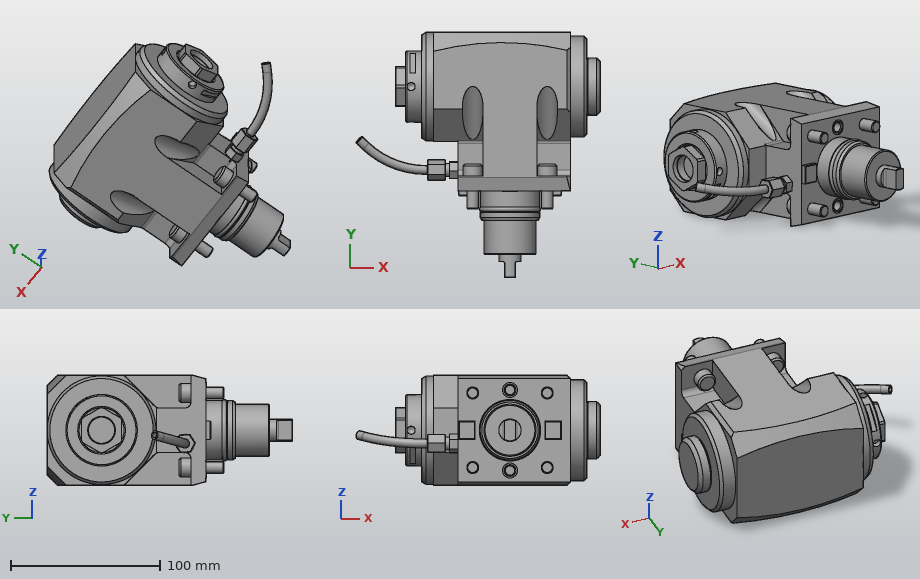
import cadquery as cq
import math


HALF_HEIGHT = 37.0
HOUSING_LEFT = -51.2
HOUSING_RIGHT = 40.7
HOUSING_BACK = 106.5
SPINDLE_Y = 70.0
NECK_HALF_HEIGHT = 15.0
HOUSING_FRONT = 33.0
HOUSING_SLOPE_ANGLE = 45.0
SIDE_CHAMFER = 2.6
BACK_BEVEL = 7.0
BACK_BEVEL_RADIUS = 258.0

PLATE_LEFT = -35.0
PLATE_THICKNESS = 10.0
PLATE_TAPER_START = 9.0
PLATE_TAPER_ANGLE = 15.0
RIB_HALF_WIDTH = 18.0
NECK_BACK_FILLET = 3.0
NECK_PLATE_FILLET = 4.0

SCREW_OFFSET = 25.0
SCREW_DIAMETER = 8.0
SCREW_HEAD_DIAMETER = 13.0
SCREW_HEAD_HEIGHT = 8.0
SCREW_REACH = 12.0
SCREW_CHAMFER = 0.6
SCREW_HEAD_CHAMFER = 1.2
SCALLOP_RADIUS = SCREW_OFFSET - RIB_HALF_WIDTH
SCALLOP_ANGLE = 30.0
SCALLOP_TOP_Y = 70.0
SCALLOP_BOTTOM_Y = 34.5

KEY_INNER_X = 23.4
KEY_WIDTH = 11.0
KEY_LENGTH = 12.4
KEY_HEIGHT = 3.4
KEY_CHAMFER = 0.5
PORT_OFFSET = 27.0
PORT_RING_RADIUS = 5.0
PORT_RING_HEIGHT = 0.4
PORT_RADIUS = 3.2
PORT_CHAMFER = 0.7
PORT_DEPTH = 8.0

PILOT_RADIUS = 20.0
PILOT_LENGTH = 19.8
PILOT_CHAMFER_LENGTH = 2.0
PILOT_CHAMFER_DEPTH = 1.1
RING_GROOVE_START = 10.9
RING_GROOVE_END = 14.5
RING_GROOVE_RADIUS = 18.5
RING_SECTION_RADIUS = 1.6
RING_CENTRE_RADIUS = 19.0
RING_POSITION = 12.4
SHANK_RADIUS = 17.5
SHANK_LENGTH = 42.8
SHANK_CHAMFER = 0.8
STUB_RADIUS = 7.5
STUB_LENGTH = 47.4
TANG_TIP = 58.0
TANG_THICKNESS = 7.2
TANG_ROOT_FILLET = 1.2
TANG_CHAMFER = 0.4

COVER_LEFT = -59.2
COVER_RADIUS = 36.5
COVER_CHAMFER_LENGTH = 3.0
COVER_CHAMFER_DEPTH = 1.8
COLLAR_LEFT = -70.1
COLLAR_RADIUS = 24.0
COLLAR_CHAMFER = 0.9
COLLAR_HOLE_DIAMETER = 5.4
COLLAR_HOLE_X = -66.3
COLLAR_HOLE_DEPTH = 4.0
DRILL_POINT_ANGLE = 118.0
COLLAR_FLAT_LEFT = -67.1
COLLAR_FLAT_RIGHT = -63.5
COLLAR_FLAT_DISTANCE = 22.1
HEX_LEFT = -76.7
HEX_ACROSS_FLATS = 27.0
HEX_TURNED_RADIUS = 15.1
HEX_RECESS_RADIUS = 16.0
HEX_RECESS_DEPTH = 0.9
HEX_MOUTH_RADIUS = 9.3
HEX_MOUTH_DEPTH = 3.7
HEX_BORE_RADIUS = 8.8
HEX_BORE_DEPTH = 10.0

FLANGE_RIGHT = 51.5
FLANGE_RADIUS = 34.0
FLANGE_CHAMFER = 2.0
NOSE_RIGHT = 60.7
NOSE_RADIUS = 19.3
NOSE_CHAMFER = 2.5
NOSE_GROOVE_WIDTH = 1.0
NOSE_GROOVE_RADIUS = 18.3

HOSE_Y = 14.0
HOSE_Z = -8.9
HOSE_END_X = -103.27
HOSE_RADIUS = 3.0
HOSE_TILT = 15.5
HOSE_BEND_ANGLE = 45.0
HOSE_BEND_RADIUS = 58.0
HOSE_BEND_START_X = -56.0
HOSE_BORE_RADIUS = 1.8
HOSE_BORE_DEPTH = 4.0
UNION_ACROSS_FLATS = 11.0
UNION_LENGTH = 5.6
FITTING_NECK_RADIUS = 4.5
UNION_TURN = 95.0
NUT_ACROSS_FLATS = 12.0
NUT_TURN = -3.0
NUT_RIGHT = -43.3
NUT_LEFT = -55.3
FITTING_CHAMFER = 0.4

EMBED = 2.0


def box(x0, x1, y0, y1, z0, z1):
    """Box between two opposite corners."""
    return cq.Workplane("XY").box(x1 - x0, y1 - y0, z1 - z0, centered=False).translate((x0, y0, z0))


def rod_x(x0, x1, radius, y, z):
    """Cylinder along X."""
    return cq.Workplane("YZ", origin=(x0, y, z)).circle(radius).extrude(x1 - x0)


def rod_y(y0, y1, radius, x, z):
    """Cylinder along Y, from y0 up to y1."""
    return cq.Workplane("XZ", origin=(x, y1, z)).circle(radius).extrude(y1 - y0)


def hexagon_x(x0, x1, across_flats, y, z, turn=0.0):
    """Hexagonal bar along X; its corners point along +-Y, turned by an angle about its axis."""
    across_corners = across_flats / math.cos(math.radians(30))
    bar = cq.Workplane("YZ", origin=(x0, y, z)).polygon(6, across_corners).extrude(x1 - x0)
    return bar.rotate((0, y, z), (1, y, z), turn)


def side_profile(points, x0, x1):
    """Prism along X from an outline of (y, z) points."""
    return cq.Workplane("YZ", origin=(x0, 0, 0)).polyline(points).close().extrude(x1 - x0)


def make_housing():
    """Housing block with a sloping front, curved rear bevels and screw access scallops."""
    slope_height = HALF_HEIGHT - NECK_HALF_HEIGHT
    slope_top_y = HOUSING_FRONT + slope_height / math.tan(math.radians(HOUSING_SLOPE_ANGLE))
    housing = side_profile(
        [
            (HOUSING_BACK, -HALF_HEIGHT),
            (HOUSING_BACK, HALF_HEIGHT),
            (slope_top_y, HALF_HEIGHT),
            (HOUSING_FRONT, NECK_HALF_HEIGHT),
            (HOUSING_FRONT, -NECK_HALF_HEIGHT),
            (slope_top_y, -HALF_HEIGHT),
        ],
        HOUSING_LEFT,
        HOUSING_RIGHT,
    )
    envelope = make_bevel_envelope()
    housing = housing.intersect(envelope).intersect(envelope.mirror("XY"))
    for side in (-1, 1):
        scallop = make_scallop(side * SCREW_OFFSET)
        housing = housing.cut(scallop).cut(scallop.mirror("XY"))
    return housing


def make_bevel_envelope():
    """Cylinder that leaves the curved 45 degree bevel on the upper rear edge of the housing."""
    inset = BACK_BEVEL / math.sqrt(2)
    middle_x = (HOUSING_LEFT + HOUSING_RIGHT) / 2
    axis_shift = (BACK_BEVEL_RADIUS + inset) / math.sqrt(2)
    centre = (middle_x, HOUSING_BACK - axis_shift, HALF_HEIGHT - axis_shift)
    plane = cq.Plane(origin=centre, xDir=(1, 0, 0), normal=(0, -1, 1))
    return cq.Workplane(plane).circle(BACK_BEVEL_RADIUS).extrude(2 * HOUSING_BACK, both=True)


def make_scallop(x):
    """Inclined round cutter giving tool access to one upper mounting screw."""
    angle = math.radians(SCALLOP_ANGLE)
    drop = (SCALLOP_TOP_Y - SCALLOP_BOTTOM_Y) * math.tan(angle)
    start = (
        x,
        SCALLOP_BOTTOM_Y - SCALLOP_RADIUS * math.sin(angle),
        HALF_HEIGHT - drop + SCALLOP_RADIUS * math.cos(angle),
    )
    plane = cq.Plane(origin=start, xDir=(1, 0, 0), normal=(0, math.cos(angle), math.sin(angle)))
    return cq.Workplane(plane).circle(SCALLOP_RADIUS).extrude(HOUSING_BACK)


def make_mount():
    """Tapered mounting plate, neck with root fillets and the central full-height rib."""
    taper = PLATE_TAPER_START * math.tan(math.radians(PLATE_TAPER_ANGLE))
    front_height = HALF_HEIGHT - taper
    plate = side_profile(
        [
            (0, -front_height),
            (0, front_height),
            (PLATE_TAPER_START, HALF_HEIGHT),
            (PLATE_THICKNESS, HALF_HEIGHT),
            (PLATE_THICKNESS, -HALF_HEIGHT),
            (PLATE_TAPER_START, -HALF_HEIGHT),
        ],
        PLATE_LEFT,
        HOUSING_RIGHT,
    )
    rib = box(-RIB_HALF_WIDTH, RIB_HALF_WIDTH, PLATE_TAPER_START, SPINDLE_Y, -HALF_HEIGHT, HALF_HEIGHT)
    half_neck = make_half_neck()
    return plate.union(rib).union(half_neck).union(half_neck.mirror("XY"))


def make_half_neck():
    """Upper half of the neck, filleted into the plate and into the housing slope."""
    diagonal = math.sqrt(0.5)
    slope = math.radians(HOUSING_SLOPE_ANGLE)
    back_turn = slope / 2
    reach = NECK_BACK_FILLET * math.tan(back_turn)
    plate_centre = (PLATE_THICKNESS + NECK_PLATE_FILLET, NECK_HALF_HEIGHT + NECK_PLATE_FILLET)
    plate_mid = (
        plate_centre[0] - NECK_PLATE_FILLET * diagonal,
        plate_centre[1] - NECK_PLATE_FILLET * diagonal,
    )
    back_start_y = HOUSING_FRONT - reach
    back_mid = (
        back_start_y + NECK_BACK_FILLET * math.sin(back_turn),
        NECK_HALF_HEIGHT + NECK_BACK_FILLET * (1 - math.cos(back_turn)),
    )
    back_end = (HOUSING_FRONT + reach * math.cos(slope), NECK_HALF_HEIGHT + reach * math.sin(slope))
    return (
        cq.Workplane("YZ", origin=(PLATE_LEFT, 0, 0))
        .moveTo(PLATE_THICKNESS / 2, 0)
        .lineTo(PLATE_THICKNESS / 2, plate_centre[1])
        .lineTo(PLATE_THICKNESS, plate_centre[1])
        .threePointArc(plate_mid, (plate_centre[0], NECK_HALF_HEIGHT))
        .lineTo(back_start_y, NECK_HALF_HEIGHT)
        .threePointArc(back_mid, back_end)
        .lineTo(SPINDLE_Y, back_end[1])
        .lineTo(SPINDLE_Y, 0)
        .close()
        .extrude(HOUSING_RIGHT - PLATE_LEFT)
    )


def chamfer_right_side(body):
    """Chamfer the upper and lower long edges of the right-hand side."""
    envelope = (
        cq.Workplane("XZ", origin=(0, HOUSING_BACK, 0))
        .polyline(
            [
                (HOUSING_LEFT, -HALF_HEIGHT),
                (HOUSING_LEFT, HALF_HEIGHT),
                (HOUSING_RIGHT - SIDE_CHAMFER, HALF_HEIGHT),
                (HOUSING_RIGHT, HALF_HEIGHT - SIDE_CHAMFER),
                (HOUSING_RIGHT, SIDE_CHAMFER - HALF_HEIGHT),
                (HOUSING_RIGHT - SIDE_CHAMFER, -HALF_HEIGHT),
            ]
        )
        .close()
        .extrude(HOUSING_BACK)
    )
    return body.intersect(envelope)


def make_screw(x, z):
    """Socket head screw through the plate."""
    shank = rod_y(-SCREW_REACH, PLATE_THICKNESS, SCREW_DIAMETER / 2, x, z)
    head = rod_y(PLATE_THICKNESS, PLATE_THICKNESS + SCREW_HEAD_HEIGHT, SCREW_HEAD_DIAMETER / 2, x, z)
    return shank.faces("<Y").chamfer(SCREW_CHAMFER).union(head.faces(">Y").chamfer(SCREW_HEAD_CHAMFER))


def make_key(side):
    """Locating key on the mounting face."""
    key = cq.Workplane("XY").box(KEY_WIDTH, KEY_HEIGHT + EMBED, KEY_LENGTH)
    key = key.faces("<Y").chamfer(KEY_CHAMFER)
    return key.translate((side * (KEY_INNER_X + KEY_WIDTH / 2), (EMBED - KEY_HEIGHT) / 2, 0))


def add_port(body, z):
    """Coolant port with a thin raised ring and a countersunk mouth."""
    body = body.union(rod_y(-PORT_RING_HEIGHT, EMBED, PORT_RING_RADIUS, 0, z))
    bore = rod_y(-PORT_RING_HEIGHT, PORT_DEPTH, PORT_RADIUS, 0, z)
    mouth = cq.Solid.makeCone(
        PORT_RADIUS + PORT_CHAMFER,
        PORT_RADIUS,
        PORT_CHAMFER,
        pnt=cq.Vector(0, -PORT_RING_HEIGHT, z),
        dir=cq.Vector(0, 1, 0),
    )
    return body.cut(bore).cut(cq.Workplane(mouth))


def make_shank():
    """Turned shank with sealing ring and a drive tang."""
    turned = (
        cq.Workplane("XY")
        .polyline(
            [
                (0, EMBED),
                (PILOT_RADIUS, EMBED),
                (PILOT_RADIUS, -RING_GROOVE_START),
                (RING_GROOVE_RADIUS, -RING_GROOVE_START),
                (RING_GROOVE_RADIUS, -RING_GROOVE_END),
                (PILOT_RADIUS, -RING_GROOVE_END),
                (PILOT_RADIUS, PILOT_CHAMFER_LENGTH - PILOT_LENGTH),
                (PILOT_RADIUS - PILOT_CHAMFER_DEPTH, -PILOT_LENGTH),
                (SHANK_RADIUS, -PILOT_LENGTH),
                (SHANK_RADIUS, SHANK_CHAMFER - SHANK_LENGTH),
                (SHANK_RADIUS - SHANK_CHAMFER, -SHANK_LENGTH),
                (0, -SHANK_LENGTH),
            ]
        )
        .close()
        .revolve(360, (0, 0, 0), (0, 1, 0))
    )
    ring = (
        cq.Workplane("XY")
        .center(-RING_CENTRE_RADIUS, -RING_POSITION)
        .circle(RING_SECTION_RADIUS)
        .revolve(360, (RING_CENTRE_RADIUS, 0, 0), (RING_CENTRE_RADIUS, 1, 0))
    )
    return turned.union(ring).union(make_tang())


def make_tang():
    """Round stub milled down on two sides to a flat tang with filleted roots."""
    tang = rod_y(-TANG_TIP, EMBED - SHANK_LENGTH, STUB_RADIUS, 0, 0)
    tang = tang.faces("<Y").chamfer(TANG_CHAMFER)
    half = TANG_THICKNESS / 2
    for side in (-1, 1):
        near, far = sorted((side * half, side * 2 * STUB_RADIUS))
        cutter = box(near, far, -2 * TANG_TIP, -STUB_LENGTH, -STUB_RADIUS, STUB_RADIUS)
        inner_side = "<X" if side > 0 else ">X"
        root = cutter.faces(">Y").edges(inner_side)
        tang = tang.cut(root.fillet(TANG_ROOT_FILLET))
    return tang


def make_collar_hole():
    """Radial spanner hole with a conical floor, on the +Z side of the collar."""
    radius = COLLAR_HOLE_DIAMETER / 2
    floor = COLLAR_RADIUS - COLLAR_HOLE_DEPTH
    point = floor - radius / math.tan(math.radians(DRILL_POINT_ANGLE / 2))
    return (
        cq.Workplane("XZ", origin=(COLLAR_HOLE_X, SPINDLE_Y, 0))
        .polyline([(0, point), (radius, floor), (radius, 2 * COLLAR_RADIUS), (0, 2 * COLLAR_RADIUS)])
        .close()
        .revolve(360, (0, 0, 0), (0, 1, 0))
    )


def make_left_spindle():
    """Bearing cover, adjusting collar with spanner holes and hollow hexagon."""
    cover_inner = HOUSING_LEFT + EMBED
    cover = (
        cq.Workplane("XY")
        .polyline(
            [
                (cover_inner, 0),
                (cover_inner, COVER_RADIUS),
                (COVER_LEFT + COVER_CHAMFER_LENGTH, COVER_RADIUS),
                (COVER_LEFT, COVER_RADIUS - COVER_CHAMFER_DEPTH),
                (COVER_LEFT, 0),
            ]
        )
        .close()
        .revolve(360, (0, 0, 0), (1, 0, 0))
        .translate((0, SPINDLE_Y, 0))
    )
    collar = rod_x(COLLAR_LEFT, COVER_LEFT, COLLAR_RADIUS, SPINDLE_Y, 0).faces("<X").chamfer(COLLAR_CHAMFER)
    recess = cq.Solid.makeCone(
        HEX_RECESS_RADIUS,
        HEX_TURNED_RADIUS,
        HEX_RECESS_DEPTH,
        pnt=cq.Vector(COLLAR_LEFT, SPINDLE_Y, 0),
        dir=cq.Vector(1, 0, 0),
    )
    collar = collar.cut(cq.Workplane(recess))
    axis_start = (0, SPINDLE_Y, 0)
    axis_end = (1, SPINDLE_Y, 0)
    for quarter in range(4):
        collar = collar.cut(make_collar_hole().rotate(axis_start, axis_end, 90 * quarter))
    flat = box(
        COLLAR_FLAT_LEFT,
        COLLAR_FLAT_RIGHT,
        SPINDLE_Y - COLLAR_RADIUS,
        SPINDLE_Y + COLLAR_RADIUS,
        COLLAR_FLAT_DISTANCE,
        2 * COLLAR_RADIUS,
    )
    for angle in (-45, 135):
        collar = collar.cut(flat.rotate(axis_start, axis_end, angle))
    hexagon = hexagon_x(HEX_LEFT, COVER_LEFT, HEX_ACROSS_FLATS, SPINDLE_Y, 0, turn=90)
    hexagon = hexagon.intersect(rod_x(HEX_LEFT, COVER_LEFT, HEX_TURNED_RADIUS, SPINDLE_Y, 0))
    bore = rod_x(HEX_LEFT, HEX_LEFT + HEX_BORE_DEPTH, HEX_BORE_RADIUS, SPINDLE_Y, 0)
    mouth = rod_x(HEX_LEFT, HEX_LEFT + HEX_MOUTH_DEPTH, HEX_MOUTH_RADIUS, SPINDLE_Y, 0)
    return cover.union(collar).union(hexagon).cut(bore).cut(mouth)


def make_right_spindle():
    """Bearing flange and spindle nose."""
    flange = rod_x(HOUSING_RIGHT - EMBED, FLANGE_RIGHT, FLANGE_RADIUS, SPINDLE_Y, 0)
    groove_end = FLANGE_RIGHT + NOSE_GROOVE_WIDTH
    throat = rod_x(FLANGE_RIGHT, groove_end, NOSE_GROOVE_RADIUS, SPINDLE_Y, 0)
    nose = rod_x(groove_end, NOSE_RIGHT, NOSE_RADIUS, SPINDLE_Y, 0)
    flange = flange.faces(">X").chamfer(FLANGE_CHAMFER)
    return flange.union(throat).union(nose.faces(">X").chamfer(NOSE_CHAMFER))


def make_hose():
    """Coolant fitting and the bent hose leaving it."""
    union_left = PLATE_LEFT - UNION_LENGTH
    fitting = hexagon_x(union_left, PLATE_LEFT + EMBED, UNION_ACROSS_FLATS, HOSE_Y, HOSE_Z, UNION_TURN)
    fitting = fitting.union(rod_x(NUT_RIGHT, union_left, FITTING_NECK_RADIUS, HOSE_Y, HOSE_Z))
    nut = hexagon_x(NUT_LEFT, NUT_RIGHT, NUT_ACROSS_FLATS, HOSE_Y, HOSE_Z, NUT_TURN)
    fitting = fitting.union(nut.faces("<X or >X").chamfer(FITTING_CHAMFER))

    bend = math.radians(HOSE_BEND_ANGLE)
    bend_end_x = -HOSE_BEND_RADIUS * math.sin(bend)
    bend_end_y = HOSE_BEND_RADIUS * (1 - math.cos(bend))
    bend_mid_x = -HOSE_BEND_RADIUS * math.sin(bend / 2)
    bend_mid_y = HOSE_BEND_RADIUS * (1 - math.cos(bend / 2))
    tip_x = HOSE_END_X + HOSE_RADIUS * math.sin(bend) - HOSE_BEND_START_X
    tip_y = bend_end_y + (bend_end_x - tip_x) * math.tan(bend)
    start_x = NUT_LEFT + EMBED - HOSE_BEND_START_X
    path = (
        cq.Workplane("XY")
        .moveTo(start_x, 0)
        .lineTo(0, 0)
        .threePointArc((bend_mid_x, bend_mid_y), (bend_end_x, bend_end_y))
        .lineTo(tip_x, tip_y)
    )
    hose = cq.Workplane("YZ", origin=(start_x, 0, 0)).circle(HOSE_RADIUS).sweep(path)
    tip = cq.Plane(origin=(tip_x, tip_y, 0), xDir=(0, 0, 1), normal=(math.cos(bend), -math.sin(bend), 0))
    hose = hose.cut(cq.Workplane(tip).circle(HOSE_BORE_RADIUS).extrude(HOSE_BORE_DEPTH))
    hose = hose.rotate((0, 0, 0), (1, 0, 0), HOSE_TILT)
    return fitting.union(hose.translate((HOSE_BEND_START_X, HOSE_Y, HOSE_Z)))


result = chamfer_right_side(make_housing().union(make_mount()))
for x_side in (-1, 1):
    for z_side in (-1, 1):
        result = result.union(make_screw(x_side * SCREW_OFFSET, z_side * SCREW_OFFSET))
    result = result.union(make_key(x_side))
result = result.union(make_shank())
for port_z in (-PORT_OFFSET, PORT_OFFSET):
    result = add_port(result, port_z)
result = result.union(make_left_spindle()).union(make_right_spindle()).union(make_hose())